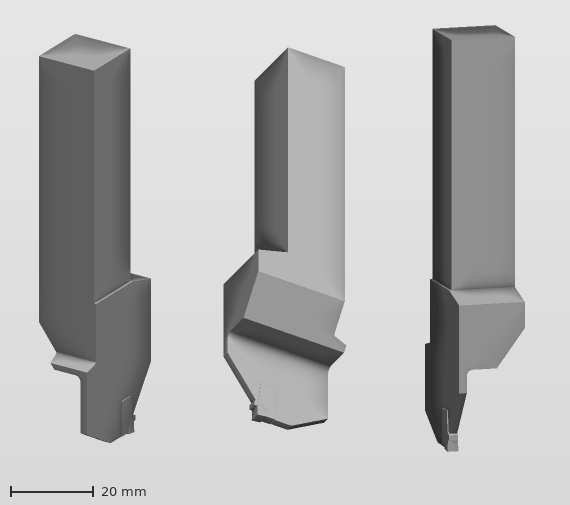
import cadquery as cq

SHANK = 16.0
TOP_Z = 101.4
HEAD_X = 16.6
HEAD_TOP_Z = 39.7

BACK_Y = 24.3
BACK_TOP_Z = 37.5
BACK_BOTTOM_Z = 15.8
FRONT_Y = -4.0
LEDGE_INNER_Z = 24.0
LEDGE_OUTER_Z = 23.0
FRONT_BOTTOM_Z = 6.5
BOTTOM_Z = 0.5
BOTTOM_FRONT_Y = 6.4
LEDGE_FILLET = 0.5

BLADE_THICKNESS = 1.9
BLADE_X = HEAD_X - BLADE_THICKNESS
BEVEL_TOP_Z = 31.0
BEVEL_BOTTOM_X = 7.1
BLADE_ROOT_Z = 21.5
BLADE_FILLET = 1.5

INSERT_FRONT_Y = 11.0
INSERT_TOP_Y = 15.0
INSERT_TOP_Z = 9.9
INSERT_BOTTOM_Z = 0.6
SHOULDER_Y = 15.6
SHOULDER_Z = 4.8
NOSE_Y = 16.3
NOSE_TOP_Z = 4.5
CREST_Y = 16.8
CREST_TOP_Z = 4.2
CREST_BOTTOM_Z = 2.8
EDGE_Y = 16.1
TIP_FRONT_Y = 13.7
TIP_RELIEF_Z = 0.3
TIP_TOP_Z = 3.5
TIP_TOP_Y = 15.3
TIP_BEND = (14.8, 3.0)

INSERT_X = (14.6, 16.9)
TIP_TOP_X = (14.5, 16.9)
TIP_EDGE_X = (14.3, 17.1)

SEAT_Y = NOSE_Y
SEAT_Z = NOSE_TOP_Z


def make_shank():
    height = TOP_Z - HEAD_TOP_Z
    return cq.Workplane("XY").box(SHANK, SHANK, height, centered=False).translate((0, 0, HEAD_TOP_Z))


def make_head():
    head = (
        cq.Workplane("YZ")
        .moveTo(0, HEAD_TOP_Z)
        .lineTo(SHANK, HEAD_TOP_Z)
        .lineTo(BACK_Y, BACK_TOP_Z)
        .lineTo(BACK_Y, BACK_BOTTOM_Z)
        .lineTo(SEAT_Y, SEAT_Z)
        .lineTo(INSERT_FRONT_Y, INSERT_BOTTOM_Z)
        .lineTo(INSERT_FRONT_Y, BOTTOM_Z)
        .lineTo(BOTTOM_FRONT_Y, BOTTOM_Z)
        .lineTo(FRONT_Y, FRONT_BOTTOM_Z)
        .lineTo(FRONT_Y, LEDGE_OUTER_Z)
        .lineTo(0, LEDGE_INNER_Z)
        .close()
        .extrude(HEAD_X)
    )
    return head.edges(cq.selectors.NearestToPointSelector((HEAD_X / 2, 0, LEDGE_INNER_Z))).fillet(LEDGE_FILLET)


def make_blade_relief():
    """Material removed below the bevel and beside the blade."""
    relief = (
        cq.Workplane("XZ", origin=(0, BACK_Y, 0))
        .moveTo(0, BEVEL_TOP_Z)
        .lineTo(BEVEL_BOTTOM_X, BLADE_ROOT_Z)
        .lineTo(BLADE_X, BLADE_ROOT_Z)
        .lineTo(BLADE_X, 0)
        .lineTo(0, 0)
        .close()
        .extrude(BACK_Y - FRONT_Y)
    )
    root = cq.selectors.NearestToPointSelector((BLADE_X, (BACK_Y + FRONT_Y) / 2, BLADE_ROOT_Z))
    return relief.edges(root).fillet(BLADE_FILLET)


def make_insert_body():
    return (
        cq.Workplane("YZ", origin=(INSERT_X[0], 0, 0))
        .moveTo(INSERT_FRONT_Y, INSERT_BOTTOM_Z)
        .lineTo(INSERT_FRONT_Y, INSERT_TOP_Z)
        .lineTo(INSERT_TOP_Y, INSERT_TOP_Z)
        .lineTo(SHOULDER_Y, SHOULDER_Z)
        .lineTo(NOSE_Y, NOSE_TOP_Z)
        .lineTo(CREST_Y, CREST_TOP_Z)
        .lineTo(CREST_Y, CREST_BOTTOM_Z)
        .lineTo(EDGE_Y, CREST_BOTTOM_Z)
        .lineTo(EDGE_Y, INSERT_BOTTOM_Z)
        .close()
        .extrude(INSERT_X[1] - INSERT_X[0])
    )


def make_insert_tip():
    """Cutting tip, widest at its lowest edge."""
    outline = (
        cq.Workplane("YZ", origin=(TIP_EDGE_X[0], 0, 0))
        .moveTo(EDGE_Y, 0)
        .lineTo(EDGE_Y, TIP_TOP_Z)
        .lineTo(TIP_TOP_Y, TIP_TOP_Z)
        .lineTo(*TIP_BEND)
        .lineTo(TIP_FRONT_Y, INSERT_BOTTOM_Z)
        .lineTo(TIP_FRONT_Y, TIP_RELIEF_Z)
        .close()
        .extrude(TIP_EDGE_X[1] - TIP_EDGE_X[0])
    )
    flare = (
        cq.Workplane("XZ", origin=(0, EDGE_Y, 0))
        .moveTo(TIP_EDGE_X[0], 0)
        .lineTo(TIP_EDGE_X[1], 0)
        .lineTo(TIP_TOP_X[1], TIP_TOP_Z)
        .lineTo(TIP_TOP_X[0], TIP_TOP_Z)
        .close()
        .extrude(EDGE_Y - TIP_FRONT_Y)
    )
    return outline.intersect(flare)


insert = make_insert_body().union(make_insert_tip())

holder = make_shank().union(make_head()).cut(make_blade_relief()).cut(insert)

result = cq.Compound.makeCompound([holder.solids().val(), insert.solids().val()])